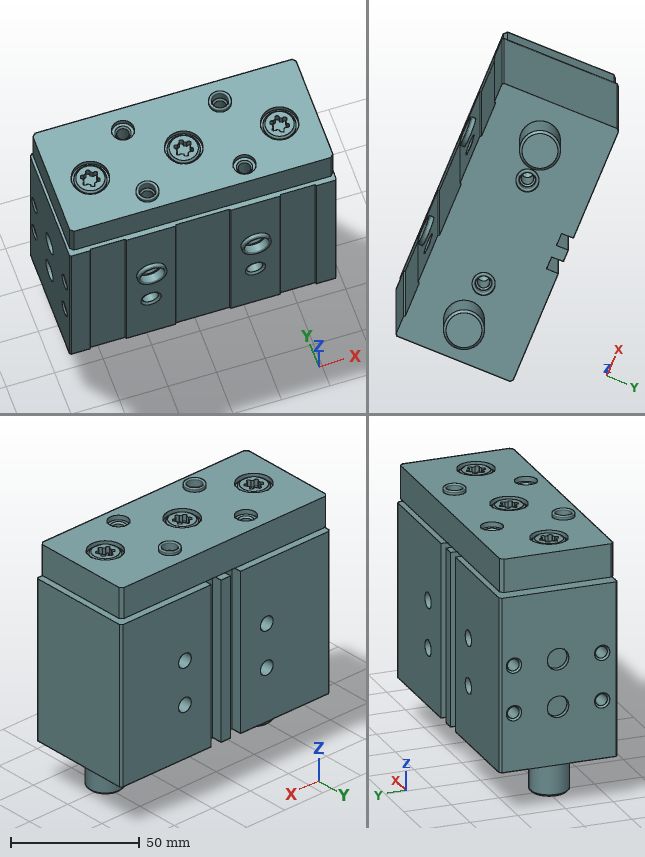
import cadquery as cq
import math


housing_width = 110.0
housing_depth = 49.4
housing_height = 73.4
front_corner_chamfer = 0.6
back_corner_chamfer = 1.0
back_y = 25.5
front_y = back_y - housing_depth
body_center_y = back_y - housing_depth / 2
left_x = -housing_width / 2

front_recess_depth = 0.6
recess_flank_width = 0.5
center_recess_width = 23.0
side_recess_inner_x = 31.6
side_recess_outer_x = 46.7
back_slot_width = 5.2
back_slot_depth = 5.0
back_slot_spacing = 10.2

stroke_gap = 2.0
plate_width = 108.5
plate_depth = 47.5
plate_center_y = 1.0
plate_thickness = 14.0
plate_corner_chamfer = 1.3
plate_bottom_z = housing_height + stroke_gap
plate_top_z = plate_bottom_z + plate_thickness
guide_rod_diameter = 16.0
guide_rod_spacing = 78.0
guide_rod_y = -1.5
guide_rod_overhang = 16.7
guide_rod_chamfer = 1.0
piston_rod_diameter = 10.0
piston_rod_insertion = 30.0
guide_rod_points = [(side * guide_rod_spacing / 2, guide_rod_y) for side in (-1, 1)]
screw_points = guide_rod_points + [(0, 0)]

counterbore_diameter = 15.0
counterbore_depth = 2.0
screw_head_diameter = 13.0
screw_head_height = 1.55
screw_head_chamfer = 0.8
socket_outer_diameter = 7.8
socket_inner_diameter = 5.6
socket_lobe_width = 1.7
socket_depth = 3.0
socket_lobes = 6

small_sleeve_diameter = 9.0
small_sleeve_bore = 6.6
small_sleeve_length = 3.8
small_sleeve_protrusion = 1.7
large_sleeve_diameter = 12.0
large_sleeve_bore = 10.2
large_sleeve_length = 4.0
large_sleeve_protrusion = 1.95
small_seat_depth = small_sleeve_length - small_sleeve_protrusion
large_seat_depth = large_sleeve_length - large_sleeve_protrusion

m6_core_diameter = 4.92
m6_countersink_diameter = 6.4
m6_depth = 12.0
drill_tip_angle = 118.0
m8_core_diameter = 6.65
m8_countersink_diameter = 8.4

plate_hole_x = 20.0
plate_hole_y = 15.0
plate_holes = [(i * plate_hole_x, j * plate_hole_y) for i in (-1, 1) for j in (-1, 1)]
plate_sleeve_holes = [(x, y) for x, y in plate_holes if x * y > 0]
bottom_hole_x = 22.5
bottom_holes = [(side * bottom_hole_x, 0) for side in (-1, 1)]
front_hole_x = 21.5
hole_row_spacing = 20.0
upper_row_z = 44.4
lower_row_z = upper_row_z - hole_row_spacing
side_hole_spacing = 37.0
side_hole_center_y = plate_center_y

UP = (0, 0, 1)
DOWN = (0, 0, -1)
BACKWARD = (0, 1, 0)
FORWARD = (0, -1, 0)
RIGHT = (1, 0, 0)


def cylinder(start, direction, diameter, length):
    """Cylinder that runs from start along direction."""
    base = cq.Vector(*start)
    axis = cq.Vector(*direction)
    return cq.Workplane(cq.Solid.makeCylinder(diameter / 2, length, base, axis))


def cone(start, direction, start_diameter, end_diameter, length):
    """Cone that runs from start along direction."""
    base = cq.Vector(*start)
    axis = cq.Vector(*direction)
    return cq.Workplane(cq.Solid.makeCone(start_diameter / 2, end_diameter / 2, length, base, axis))


def shifted(start, direction, distance):
    """Point at a distance from start along direction."""
    return tuple(s + d * distance for s, d in zip(start, direction))


def threaded_hole(start, direction, core, countersink, depth):
    """Cutter for a straight hole with a 45 degree countersink at its mouth."""
    sink = cone(start, direction, countersink, core, (countersink - core) / 2)
    return cylinder(start, direction, core, depth).union(sink)


def blind_m6_hole(start, direction):
    """Cutter for an M6 hole that ends in a drill tip."""
    tip_height = m6_core_diameter / 2 / math.tan(math.radians(drill_tip_angle / 2))
    tip = cone(shifted(start, direction, m6_depth), direction, m6_core_diameter, 0, tip_height)
    return threaded_hole(start, direction, m6_core_diameter, m6_countersink_diameter, m6_depth).union(tip)


def make_sleeve(face_point, outward, diameter, bore, length, protrusion):
    """Centring sleeve with a full-round rim that stands out of the face by its protrusion."""
    outer = diameter / 2
    inner = bore / 2
    rim_radius = (outer - inner) / 2
    wall_length = length - rim_radius
    start = shifted(face_point, outward, protrusion - length)
    plane = cq.Plane(origin=start, xDir=RIGHT, normal=cq.Vector(*RIGHT).cross(cq.Vector(*outward)))
    return (
        cq.Workplane(plane)
        .moveTo(inner, 0)
        .lineTo(outer, 0)
        .lineTo(outer, wall_length)
        .threePointArc(((inner + outer) / 2, length), (inner, wall_length))
        .close()
        .revolve(360, (0, 0), (0, 1))
    )


def make_housing():
    body = (
        cq.Workplane("XY")
        .center(0, body_center_y)
        .rect(housing_width, housing_depth)
        .extrude(housing_height)
        .edges("|Z and <Y")
        .chamfer(front_corner_chamfer)
        .edges("|Z and >Y")
        .chamfer(back_corner_chamfer)
    )
    body = cut_face_profile(body)
    body = cut_rod_bores(body)
    body = cut_front_holes(body)
    body = cut_side_holes(body)
    return cut_bottom_holes(body)


def front_recess(inner_x, outer_x):
    """Cutter for a recess of the front face that narrows toward its floor."""
    floor_y = front_y + front_recess_depth
    return (
        cq.Workplane("XY")
        .moveTo(inner_x, front_y)
        .lineTo(outer_x, front_y)
        .lineTo(outer_x - recess_flank_width, floor_y)
        .lineTo(inner_x + recess_flank_width, floor_y)
        .close()
        .extrude(housing_height)
    )


def back_slot(center_x):
    """Cutter for a straight slot of the back face."""
    slot = cq.Workplane("XY").center(center_x, back_y - back_slot_depth / 2)
    return slot.rect(back_slot_width, back_slot_depth).extrude(housing_height)


def cut_face_profile(body):
    body = body.cut(front_recess(-center_recess_width / 2, center_recess_width / 2))
    body = body.cut(front_recess(-side_recess_outer_x, -side_recess_inner_x))
    body = body.cut(front_recess(side_recess_inner_x, side_recess_outer_x))
    for side in (-1, 1):
        body = body.cut(back_slot(side * back_slot_spacing / 2))
    return body


def cut_rod_bores(body):
    for x, y in guide_rod_points:
        body = body.cut(cylinder((x, y, 0), UP, guide_rod_diameter, housing_height))
    return body.cut(cylinder((0, 0, housing_height), DOWN, piston_rod_diameter, piston_rod_insertion))


def cut_front_holes(body):
    for side in (-1, 1):
        upper = (side * front_hole_x, front_y, upper_row_z)
        lower = (side * front_hole_x, front_y, lower_row_z)
        seat_floor = shifted(upper, BACKWARD, large_seat_depth)
        body = body.cut(cylinder(upper, BACKWARD, large_sleeve_diameter, large_seat_depth))
        for start in (seat_floor, lower):
            body = body.cut(
                threaded_hole(start, BACKWARD, m8_core_diameter, m8_countersink_diameter, housing_depth)
            )
    return body


def cut_side_holes(body):
    for z in (lower_row_z, upper_row_z):
        seat_center = (left_x, side_hole_center_y, z)
        body = body.cut(cylinder(seat_center, RIGHT, small_sleeve_diameter, small_seat_depth))
        for side in (-1, 1):
            y = side_hole_center_y + side * side_hole_spacing / 2
            body = body.cut(blind_m6_hole((left_x, y, z), RIGHT))
    return body


def cut_bottom_holes(body):
    for x, y in bottom_holes:
        body = body.cut(cylinder((x, y, 0), UP, small_sleeve_diameter, small_seat_depth))
        body = body.cut(blind_m6_hole((x, y, small_seat_depth), UP))
    return body


def make_moving_unit():
    unit = (
        cq.Workplane("XY", origin=(0, plate_center_y, plate_bottom_z))
        .rect(plate_width, plate_depth)
        .extrude(plate_thickness)
        .edges("|Z")
        .chamfer(plate_corner_chamfer)
    )
    guide_rod_length = plate_bottom_z + guide_rod_overhang
    for x, y in guide_rod_points:
        rod = cylinder((x, y, -guide_rod_overhang), UP, guide_rod_diameter, guide_rod_length)
        unit = unit.union(rod.faces("<Z").edges().chamfer(guide_rod_chamfer))
    piston_rod_length = piston_rod_insertion + stroke_gap
    unit = unit.union(cylinder((0, 0, plate_bottom_z), DOWN, piston_rod_diameter, piston_rod_length))
    for x, y in screw_points:
        unit = add_screw_head(unit, x, y)
    for x, y in plate_holes:
        top = (x, y, plate_top_z)
        seat_floor = shifted(top, DOWN, small_seat_depth)
        unit = unit.cut(cylinder(top, DOWN, small_sleeve_diameter, small_seat_depth))
        unit = unit.cut(
            threaded_hole(seat_floor, DOWN, m6_core_diameter, m6_countersink_diameter, plate_thickness)
        )
    return unit


def add_screw_head(unit, x, y):
    """Counterbore with a chamfered screw head standing on its floor."""
    top = (x, y, plate_top_z)
    floor = shifted(top, DOWN, counterbore_depth)
    head_top = shifted(floor, UP, screw_head_height)
    head = cylinder(floor, UP, screw_head_diameter, screw_head_height)
    head = head.faces(">Z").edges().chamfer(screw_head_chamfer)
    unit = unit.cut(cylinder(top, DOWN, counterbore_diameter, counterbore_depth))
    return unit.union(head).cut(make_socket(head_top))


def make_socket(head_top):
    """Cutter for a six-lobed socket with rounded lobes, one of them toward +Y."""
    socket = cylinder(head_top, DOWN, socket_inner_diameter, socket_depth)
    for i in range(socket_lobes // 2):
        lobe_pair = (
            cq.Workplane("XY", origin=shifted(head_top, DOWN, socket_depth))
            .slot2D(socket_outer_diameter, socket_lobe_width, 90 + i * 360 / socket_lobes)
            .extrude(socket_depth)
        )
        socket = socket.union(lobe_pair)
    return socket


def make_small_sleeve(face_point, outward):
    return make_sleeve(
        face_point,
        outward,
        small_sleeve_diameter,
        small_sleeve_bore,
        small_sleeve_length,
        small_sleeve_protrusion,
    )


def make_large_sleeve(face_point, outward):
    return make_sleeve(
        face_point,
        outward,
        large_sleeve_diameter,
        large_sleeve_bore,
        large_sleeve_length,
        large_sleeve_protrusion,
    )


housing = make_housing()
moving_unit = make_moving_unit()
top_sleeves = [make_small_sleeve((x, y, plate_top_z), UP) for x, y in plate_sleeve_holes]
bottom_sleeves = [make_small_sleeve((x, y, 0), DOWN) for x, y in bottom_holes]
front_sleeves = [make_large_sleeve((side * front_hole_x, front_y, upper_row_z), FORWARD) for side in (-1, 1)]

bodies = [housing, moving_unit, *top_sleeves, *bottom_sleeves, *front_sleeves]
result = cq.Compound.makeCompound([body.val() for body in bodies])